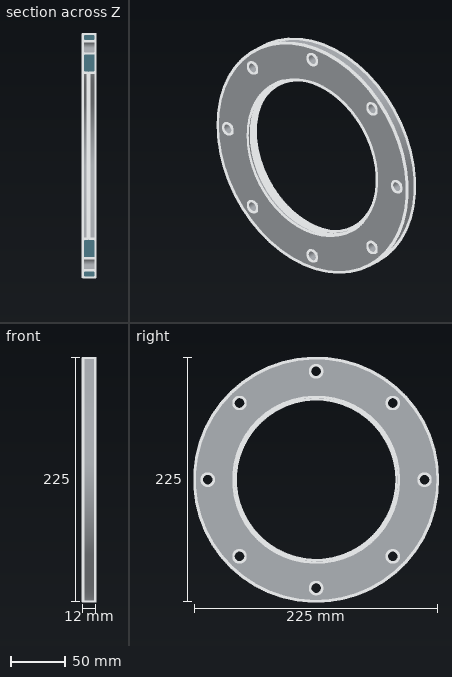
import cadquery as cq

FLANGE_DIAMETER = 225.0
FLANGE_THICKNESS = 12.0
RIM_CHAMFER = 0.5
BORE_DIAMETER = 148.3
RECESS_DIAMETER = 153.0
FRONT_RECESS_DEPTH = 4.6
LIP_THICKNESS = 1.8
BOLT_HOLE_DIAMETER = 11.0
BOLT_CIRCLE_DIAMETER = 200.0
BOLT_HOLE_COUNT = 8

BACK_RECESS_DEPTH = FLANGE_THICKNESS - FRONT_RECESS_DEPTH - LIP_THICKNESS


def disc(diameter, thickness, start=0.0):
    """Solid disc around the X axis, from X = start toward +X."""
    return cq.Workplane("YZ", origin=(start, 0, 0)).circle(diameter / 2).extrude(thickness)


def flange_blank():
    """Flange disc with both rim edges lightly chamfered."""
    return disc(FLANGE_DIAMETER, FLANGE_THICKNESS).edges("%CIRCLE").chamfer(RIM_CHAMFER)


def stepped_bore():
    """Through bore with a wider recess at each face, leaving a narrow lip between."""
    bore = disc(BORE_DIAMETER, FLANGE_THICKNESS)
    front_recess = disc(RECESS_DIAMETER, FRONT_RECESS_DEPTH)
    back_recess = disc(RECESS_DIAMETER, BACK_RECESS_DEPTH, FLANGE_THICKNESS - BACK_RECESS_DEPTH)
    return bore.union(front_recess).union(back_recess)


def bolt_holes():
    """Ring of through holes, the first one on the Y axis."""
    return (
        cq.Workplane("YZ")
        .polarArray(BOLT_CIRCLE_DIAMETER / 2, 0, 360, BOLT_HOLE_COUNT)
        .circle(BOLT_HOLE_DIAMETER / 2)
        .extrude(FLANGE_THICKNESS)
    )


result = flange_blank().cut(stepped_bore()).cut(bolt_holes())